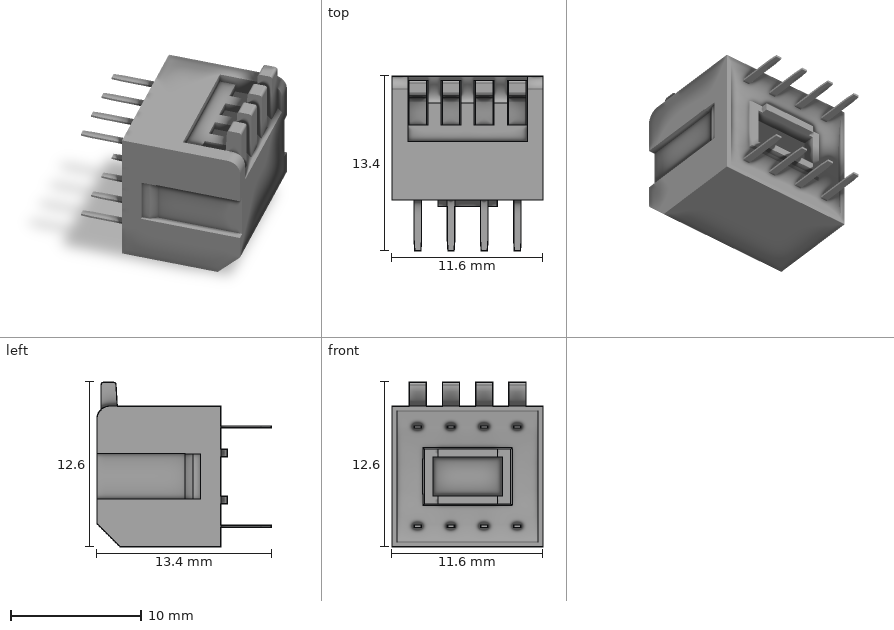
import cadquery as cq
import math

BODY_WIDTH = 11.6
BODY_DEPTH = 9.51
BODY_HEIGHT = 10.8
BACK_ROUND = 0.99
BACK_CHAMFER = 1.8
BODY_TOP = BODY_HEIGHT / 2

POSITIONS = 4
PITCH = 2.55
COLUMNS = [(i - (POSITIONS - 1) / 2) * PITCH for i in range(POSITIONS)]

SLOT_WIDTH = 1.53
SLOT_FRONT = 5.78
SLOT_BACK = 9.19
SLOT_DEPTH = 2.68
RECESS_WIDTH = (POSITIONS - 1) * PITCH + SLOT_WIDTH
RECESS_FRONT = 4.52
RECESS_DEPTH = 0.67
RAMP_START = 7.48
RAMP_ANGLE = 41.0

LEVER_WIDTH = 1.33
LEVER_RISE = 1.84
LEVER_TOP_DEPTH = 1.15
LEVER_DRAFT = 0.17
LEVER_TIP_ROUND = 0.21
LEVER_ROOT_ROUND = 0.27
SLIDER_DROP = 1.26

GROOVE_TOP = 1.77
GROOVE_BOTTOM = -1.74
GROOVE_DEPTH = 0.56
GROOVE_FRONT = 1.54
GROOVE_STEP_DEPTH = 0.24
GROOVE_STEP_LEDGE = 0.05
GROOVE_STEP_TOP = GROOVE_TOP - GROOVE_STEP_LEDGE
GROOVE_RAMP_FRONT = 2.13
GROOVE_RAMP_BACK = 2.73

RIM = 0.39
DISH_DEPTH = 0.3

FRAME_WIDTH = 6.59
FRAME_HEIGHT = 4.2
FRAME_DRAFT_ANGLE = 28.0
POCKET_WIDTH = 5.33
POCKET_HEIGHT = 3.02
POCKET_DEPTH = 1.0
BAR_LENGTH = 4.55
BAR_RISE = 0.5

PIN_LENGTH = 3.89
PIN_WIDTH = 0.59
PIN_TIP_WIDTH = 0.48
PIN_TAPER_LENGTH = 0.8
PIN_THICKNESS = 0.16
PIN_ROW_SPACING = 7.62


def box(x_range, y_range, z_range):
    """Axis-aligned block between pairs of limits."""
    size = [high - low for low, high in (x_range, y_range, z_range)]
    corner = cq.Vector(x_range[0], y_range[0], z_range[0])
    return cq.Workplane(obj=cq.Solid.makeBox(*size, corner))


def extrude_along_x(outline, width, x_center=0.0):
    """Solid from a closed YZ outline, centred on x_center."""
    return outline.extrude(width / 2, both=True).translate((x_center, 0, 0))


def housing():
    block = box((-BODY_WIDTH / 2, BODY_WIDTH / 2), (0, BODY_DEPTH), (-BODY_TOP, BODY_TOP))
    block = block.edges(">Y and >Z").fillet(BACK_ROUND)
    return block.edges(">Y and <Z").chamfer(BACK_CHAMFER)


def lever_recess():
    """Shallow floor that ramps down to an opening in the back of the housing."""
    floor = BODY_TOP - RECESS_DEPTH
    ramp_drop = (BODY_DEPTH - RAMP_START) * math.tan(math.radians(RAMP_ANGLE))
    outline = (
        cq.Workplane("YZ")
        .moveTo(RECESS_FRONT, BODY_TOP)
        .lineTo(RECESS_FRONT, floor)
        .lineTo(RAMP_START, floor)
        .lineTo(BODY_DEPTH, floor - ramp_drop)
        .lineTo(BODY_DEPTH, BODY_TOP)
        .close()
    )
    return extrude_along_x(outline, RECESS_WIDTH)


def lever_slot(x):
    half = SLOT_WIDTH / 2
    return box((x - half, x + half), (SLOT_FRONT, SLOT_BACK), (BODY_TOP - SLOT_DEPTH, BODY_TOP))


def lever(x):
    """Upright lever with a drafted front, standing on the slider that fills the slot."""
    tip = BODY_TOP + LEVER_RISE
    slider_top = BODY_TOP - SLIDER_DROP
    bottom = BODY_TOP - SLOT_DEPTH
    tip_front = SLOT_BACK - LEVER_TOP_DEPTH
    outline = (
        cq.Workplane("YZ")
        .moveTo(SLOT_BACK, bottom)
        .lineTo(SLOT_BACK, tip)
        .lineTo(tip_front, tip)
        .lineTo(tip_front - LEVER_DRAFT, slider_top)
        .lineTo(SLOT_FRONT, slider_top)
        .lineTo(SLOT_FRONT, bottom)
        .close()
    )
    body = extrude_along_x(outline, LEVER_WIDTH, x)
    body = body.faces(">Z").edges("|X").fillet(LEVER_TIP_ROUND)
    root = cq.selectors.NearestToPointSelector((x, tip_front - LEVER_DRAFT, slider_top))
    return body.edges(root).fillet(LEVER_ROOT_ROUND)


def side_groove():
    """Groove in the -X side: shallow at the front, then ramping to full depth."""
    side = -BODY_WIDTH / 2
    step = side + GROOVE_STEP_DEPTH
    floor = side + GROOVE_DEPTH
    stepped = (
        cq.Workplane("XY", origin=(0, 0, GROOVE_BOTTOM))
        .moveTo(side, GROOVE_FRONT)
        .lineTo(step, GROOVE_FRONT)
        .lineTo(step, GROOVE_RAMP_FRONT)
        .lineTo(floor, GROOVE_RAMP_BACK)
        .lineTo(floor, BODY_DEPTH)
        .lineTo(side, BODY_DEPTH)
        .close()
        .extrude(GROOVE_STEP_TOP - GROOVE_BOTTOM)
    )
    full_depth = box((side, floor), (GROOVE_RAMP_BACK, BODY_DEPTH), (GROOVE_BOTTOM, GROOVE_TOP))
    return stepped.union(full_depth)


def dish():
    """Hollow with a cylindrical floor, deepest midway up the pin face."""
    half_height = BODY_TOP - RIM
    outline = (
        cq.Workplane("YZ")
        .moveTo(0, -half_height)
        .threePointArc((DISH_DEPTH, 0), (0, half_height))
        .close()
    )
    return extrude_along_x(outline, BODY_WIDTH - 2 * RIM)


def frame():
    """Frame level with the rim, widening toward the dish, with a locating bar above and below."""
    widening = 2 * DISH_DEPTH * math.tan(math.radians(FRAME_DRAFT_ANGLE))
    base = (
        cq.Workplane("XZ", origin=(0, DISH_DEPTH, 0))
        .rect(FRAME_WIDTH + widening, FRAME_HEIGHT + widening)
        .extrude(DISH_DEPTH, taper=FRAME_DRAFT_ANGLE)
    )
    bars = cq.Workplane("XZ").rect(BAR_LENGTH, FRAME_HEIGHT).extrude(BAR_RISE)
    return base.union(bars)


def frame_pocket():
    return box(
        (-POCKET_WIDTH / 2, POCKET_WIDTH / 2),
        (-BAR_RISE, POCKET_DEPTH),
        (-POCKET_HEIGHT / 2, POCKET_HEIGHT / 2),
    )


def pin(x, z):
    """Flat pin rooted below the dish, narrowing at its tip."""
    taper_start = PIN_TAPER_LENGTH - PIN_LENGTH
    half = PIN_WIDTH / 2
    tip_half = PIN_TIP_WIDTH / 2
    return (
        cq.Workplane("XY")
        .moveTo(-half, DISH_DEPTH)
        .lineTo(-half, taper_start)
        .lineTo(-tip_half, -PIN_LENGTH)
        .lineTo(tip_half, -PIN_LENGTH)
        .lineTo(half, taper_start)
        .lineTo(half, DISH_DEPTH)
        .close()
        .extrude(PIN_THICKNESS / 2, both=True)
        .translate((x, 0, z))
    )


groove = side_groove()
result = housing().cut(lever_recess()).cut(groove).cut(groove.mirror("YZ")).cut(dish())
result = result.union(frame()).cut(frame_pocket())
for column in COLUMNS:
    result = result.cut(lever_slot(column)).union(lever(column))
    for row in (-PIN_ROW_SPACING / 2, PIN_ROW_SPACING / 2):
        result = result.union(pin(column, row))